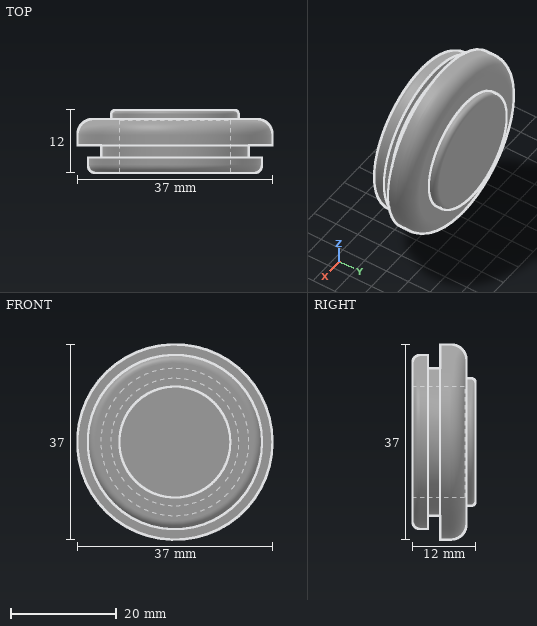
import cadquery as cq

flange_radius = 18.5
lip_radius = 16.5
neck_radius = 14.0
boss_radius = 12.1
bore_radius = 10.5

lip_length = 3.0
neck_length = 2.3
flange_length = 5.0
boss_length = 1.7
total_length = lip_length + neck_length + flange_length + boss_length
floor_thickness = 2.0
bore_depth = total_length - floor_thickness

lip_fillet = 1.5
flange_fillet = 3.0
boss_fillet = 0.85


def disc(radius, start, length):
    """Solid disc centred on the Y axis, running from start toward +Y."""
    plane = cq.Workplane("XZ", origin=(0, start, 0))
    return plane.circle(radius).extrude(-length)


lip = disc(lip_radius, 0, lip_length).faces("<Y").edges().fillet(lip_fillet)

neck_start = lip_length
neck = disc(neck_radius, neck_start, neck_length)

flange_start = neck_start + neck_length
flange = disc(flange_radius, flange_start, flange_length).faces(">Y").edges().fillet(flange_fillet)

boss_start = flange_start + flange_length
boss = disc(boss_radius, boss_start, boss_length).faces(">Y").edges().fillet(boss_fillet)

bore = disc(bore_radius, 0, bore_depth)

result = lip.union(neck).union(flange).union(boss).cut(bore)